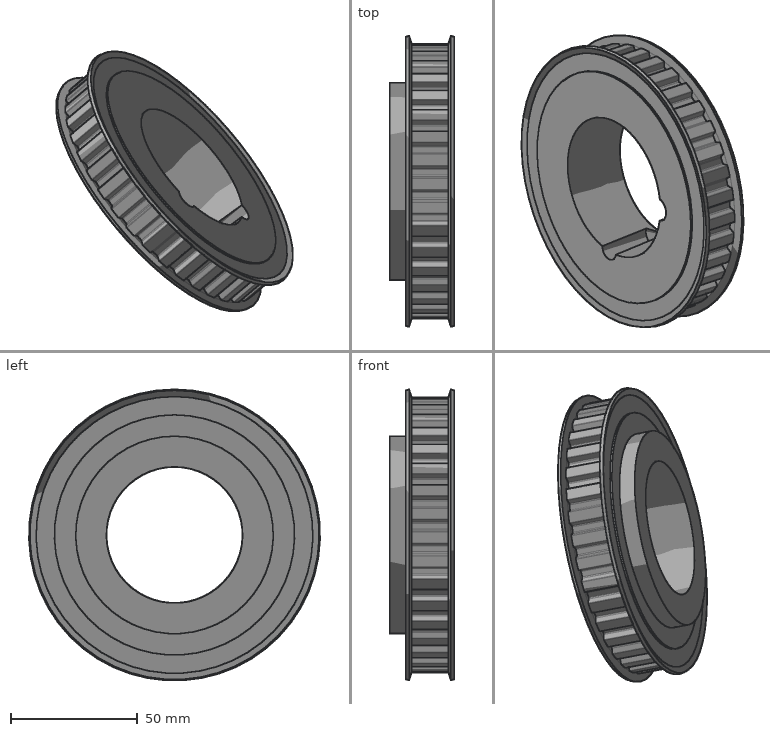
import cadquery as cq
import math


tooth_count = 36
tooth_pitch = 9.525
pitch_line_offset = 0.381
ring_radius = tooth_count * tooth_pitch / (2 * math.pi) - pitch_line_offset
groove_depth = 2.67
groove_floor_width = 2.9
groove_flank_angle = 20.0
groove_overshoot = 1.0
groove_floor_fillet = 0.5
tooth_tip_fillet = 0.25
tooth_tip_tolerance = 0.01
first_groove_angle = -4.0

core_length = 25.4
hub_radius = 38.9
disc_radius = 47.3
disc_width = 19.05
disc_start = core_length - disc_width
bore_small_radius = 26.75
bore_half_angle = 4.0

ring_width = 14.43
ring_middle = disc_start + disc_width / 2
ring_start = ring_middle - ring_width / 2
ring_end = ring_middle + ring_width / 2

flange_radius = 57.385
flange_thickness = 1.5
flange_bend_radius = 54.5
flange_tip_radius = 56.95
flange_rim_lean = 1.02
flange_tip_width = 1.35

drill_point_angle = 118.0
long_notch_radius = 4.2
long_notch_point = long_notch_radius / math.tan(math.radians(drill_point_angle / 2))
short_notch = dict(angle=-0.5, start=13.9, radius=4.7, inset=1.2, point=0)
long_notch = dict(angle=-96.0, start=3.1, radius=long_notch_radius, inset=0.7, point=long_notch_point)


def bore_radius(x):
    return bore_small_radius + x * math.tan(math.radians(bore_half_angle))


def revolve_about_x(profile):
    """Revolve a closed outline of (X, radius) points about the X axis."""
    return cq.Workplane("XZ").polyline(profile).close().revolve(360, (0, 0, 0), (1, 0, 0))


def turn_about_x(body, angle):
    return body.rotate((0, 0, 0), (1, 0, 0), angle)


def make_notch(angle, start, radius, inset, point):
    """Round cutter along X whose full radius begins at X = start."""
    profile = [(start - point, 0), (start, radius), (core_length, radius), (core_length, 0)]
    centre_radius = bore_radius(core_length) - inset
    return turn_about_x(revolve_about_x(profile).translate((0, centre_radius, 0)), angle)


def make_core():
    profile = [
        (0, bore_radius(0)),
        (0, hub_radius),
        (disc_start, hub_radius),
        (disc_start, disc_radius),
        (core_length, disc_radius),
        (core_length, bore_radius(core_length)),
    ]
    core = revolve_about_x(profile)
    for notch in (short_notch, long_notch):
        core = core.cut(make_notch(**notch))
    return core


def make_groove_cutter():
    floor_radius = ring_radius - groove_depth
    top_radius = ring_radius + groove_overshoot
    half_floor = groove_floor_width / 2
    flank_slope = math.tan(math.radians(groove_flank_angle))
    half_top = half_floor + (top_radius - floor_radius) * flank_slope
    outline = [
        (top_radius, -half_top),
        (floor_radius, -half_floor),
        (floor_radius, half_floor),
        (top_radius, half_top),
    ]
    cutter = cq.Workplane("YZ", origin=(ring_start, 0, 0)).polyline(outline).close().extrude(ring_width)
    return cutter.edges("|X and <Y").fillet(groove_floor_fillet)


def is_tooth_tip(edge):
    """True for edges lying on the outer radius of the ring."""
    middle = edge.Center()
    return math.isclose(math.hypot(middle.y, middle.z), ring_radius, abs_tol=tooth_tip_tolerance)


def make_toothed_ring():
    ring = (
        cq.Workplane("YZ", origin=(ring_start, 0, 0))
        .circle(ring_radius)
        .circle(disc_radius)
        .extrude(ring_width)
    )
    cutter = make_groove_cutter()
    for index in range(tooth_count):
        angle = first_groove_angle + index * 360 / tooth_count
        ring = ring.cut(turn_about_x(cutter, angle))
    return ring.edges("|X").filter(is_tooth_tip).fillet(tooth_tip_fillet)


def make_flange(tooth_side, outward):
    """Flange lying against the ring at X = tooth_side; outward is +1 or -1 along X."""
    profile = [
        (0, disc_radius),
        (0, ring_radius),
        (flange_rim_lean, flange_radius),
        (flange_rim_lean + flange_tip_width, flange_tip_radius),
        (flange_thickness, flange_bend_radius),
        (flange_thickness, disc_radius),
    ]
    return revolve_about_x([(tooth_side + outward * depth, radius) for depth, radius in profile])


core = make_core()
toothed_ring = make_toothed_ring()
flanges = [make_flange(side, outward) for side, outward in ((ring_start, -1), (ring_end, 1))]

result = cq.Compound.makeCompound([core.val(), toothed_ring.val(), *[flange.val() for flange in flanges]])